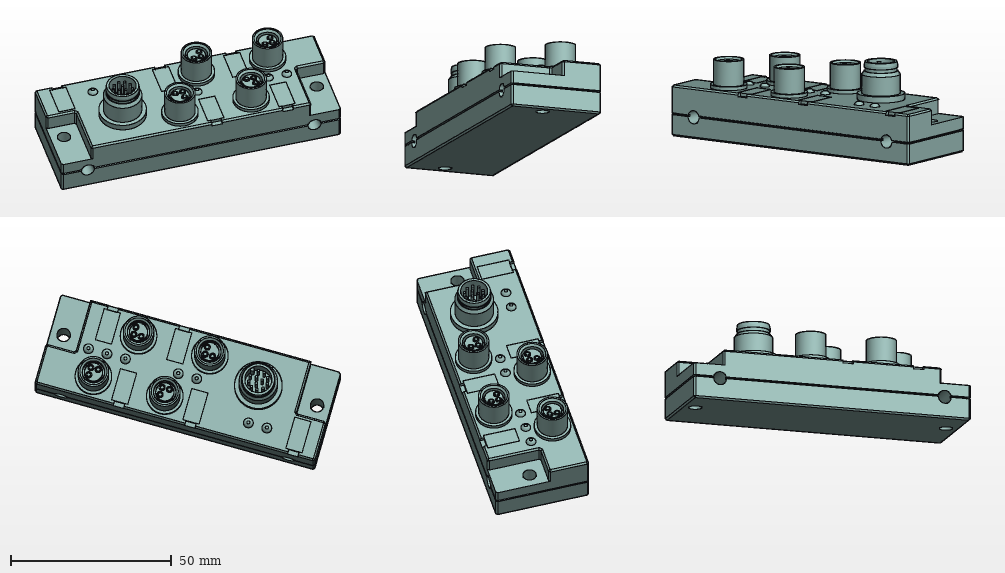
import cadquery as cq
import math

length = 90.4
width = 30.0
housing_height = 16.1
cover_height = 6.8
seam_gap = 0.5
seam_depth = 1.1
edge_chamfer = 0.5

recess_floor = 11.1
recess_wall_x = -2.1
recess_length = 9.6

hole_diameter = 4.2
vertical_hole_x = 3.0
vertical_hole_y = 40.95
side_hole_y = 36.7
side_hole_z = cover_height

port_x = 8.05
first_port_y = 28.2
port_pitch = 23.05
port_stagger = 10.0
ports_per_row = 2

socket_flange_diameter = 11.4
socket_flange_height = 1.1
socket_diameter = 9.5
socket_top = 25.0
socket_mouth_diameter = 8.4
socket_bore_diameter = 7.0
socket_mouth_depth = 0.6
socket_bore_depth = 2.7
insert_diameter = 5.7
insert_drop = 1.0
contact_offset = 1.2
contact_well_diameter = 1.9
contact_well_depth = 0.45
contact_diameter = 1.2
contact_rise = 0.3

plug_x = 3.0
plug_y = -22.0
plug_top = 28.0
plug_flange_diameter = 14.8
plug_flange_top = 18.0
plug_body_diameter = 12.0
plug_body_top = 24.0
plug_shoulder_top = socket_top
plug_ring_diameter = 10.5
plug_neck_diameter = 10.0
plug_ring_bottom = 26.1
plug_ring_top = 26.9
plug_bore_diameter = 8.4
plug_bore_depth = 7.2
pin_diameter = 0.8
pin_drop = 1.2
outer_pin_count = 9
outer_pin_radius = 3.0
outer_pin_step = 37.6
inner_pin_count = 3
inner_pin_radius = 1.2
key_angle = 45.0
key_diameter = 1.2
key_radius = 3.8
key_drop = 0.9

light_diameter = 3.1
light_height = 1.0
light_flat_diameter = 1.0
light_pitch = 6.0
port_light_x = 0.0
port_light_first_y = (32.1, 3.1)
port_light_count = (3, 2)
plug_light_x = -9.0
plug_light_first_y = -22.15
plug_light_count = 2

label_length = 10.2
label_width = 5.2
label_end_x = 13.6
label_depth = 0.1
notch_width = 3.3
notch_depth = 1.1
end_label_y = -38.15


def block(size_x, size_y, bottom, top, x=0.0, y=0.0):
    """Upright box centred on (x, y), between two heights."""
    return (
        cq.Workplane("XY", origin=(x, y, bottom))
        .rect(size_x, size_y)
        .extrude(top - bottom)
    )


def disc(diameter, bottom, top, x=0.0, y=0.0):
    """Upright cylinder centred on (x, y), between two heights."""
    return cq.Workplane("XY", origin=(x, y, bottom)).circle(diameter / 2).extrude(top - bottom)


def cone(bottom_diameter, top_diameter, bottom, top):
    """Upright truncated cone on the Z axis."""
    return (
        cq.Workplane("XY", origin=(0, 0, bottom))
        .circle(bottom_diameter / 2)
        .workplane(offset=top - bottom)
        .circle(top_diameter / 2)
        .loft()
    )


def polar(radius, angle):
    """Point at a radius and an angle in degrees."""
    return (radius * math.cos(math.radians(angle)), radius * math.sin(math.radians(angle)))


def make_housing():
    """Cover, core and recessed upper body with all through holes."""
    cover = block(width, length, 0, cover_height).edges("|Z or <Z").chamfer(edge_chamfer)
    core = block(
        width - 2 * seam_depth, length - 2 * seam_depth, cover_height, cover_height + seam_gap
    )

    body = block(width, length, cover_height + seam_gap, housing_height)
    body = body.edges("|Z").chamfer(edge_chamfer)
    recess_width = width / 2 - recess_wall_x
    for side in (-1, 1):
        recess = block(
            recess_width, recess_length, recess_floor, housing_height,
            recess_wall_x + recess_width / 2, side * (length - recess_length) / 2,
        )
        inner_corner = "<X and " + ("<Y" if side > 0 else ">Y")
        recess = recess.edges("|Z").edges(inner_corner).chamfer(edge_chamfer)
        body = body.cut(recess)
    recess_mouth = cq.selectors.BoxSelector(
        (recess_wall_x - edge_chamfer / 2, -length, recess_floor),
        (recess_wall_x + edge_chamfer / 2, length, housing_height),
    )
    body = body.edges("|Z").edges(recess_mouth).edges("<Y or >Y").chamfer(edge_chamfer)
    body = body.faces(">Z").edges().chamfer(edge_chamfer)

    for side in (-1, 1):
        wall_y = side * (length / 2 - recess_length)
        bevel = (
            cq.Workplane("XY", origin=(width / 2, wall_y, recess_floor))
            .lineTo(-edge_chamfer, 0)
            .lineTo(0, -side * edge_chamfer)
            .close()
            .extrude(housing_height - edge_chamfer - recess_floor)
        )
        body = body.cut(bevel)

    housing = cover.union(core).union(body)
    for side in (-1, 1):
        housing = housing.cut(
            disc(hole_diameter, 0, housing_height, vertical_hole_x, side * vertical_hole_y)
        )
        side_hole = (
            cq.Workplane("YZ", origin=(-width / 2, side * side_hole_y, side_hole_z))
            .circle(hole_diameter / 2)
            .extrude(width)
        )
        housing = housing.cut(side_hole)
    return housing


def cut_label(housing, side, y):
    """Sink a shallow label field and notch the housing edge beside it."""
    center_x = side * (label_end_x - label_length / 2)
    field = block(
        label_length, label_width, housing_height - label_depth, housing_height, center_x, y
    )
    notch_length = width / 2 - label_end_x
    notch = block(
        notch_length, notch_width, housing_height - notch_depth, housing_height,
        side * (label_end_x + notch_length / 2), y,
    )
    return housing.cut(field).cut(notch)


def make_socket(missing_side):
    """Three-contact socket on the Z axis; no contact at -Y on the missing X side."""
    flange_top = housing_height + socket_flange_height
    insert_top = socket_top - insert_drop
    bore_floor = socket_top - socket_bore_depth

    socket = disc(socket_flange_diameter, housing_height, flange_top)
    socket = socket.union(disc(socket_diameter, flange_top, socket_top))
    socket = socket.cut(disc(socket_bore_diameter, bore_floor, socket_top))
    socket = socket.cut(
        cone(socket_bore_diameter, socket_mouth_diameter, socket_top - socket_mouth_depth, socket_top)
    )
    socket = socket.union(disc(insert_diameter, bore_floor, insert_top))

    for side_x, side_y in ((-1, 1), (1, 1), (-missing_side, -1)):
        spot = (side_x * contact_offset, side_y * contact_offset)
        well_floor = insert_top - contact_well_depth
        socket = socket.cut(disc(contact_well_diameter, well_floor, insert_top, *spot))
        socket = socket.union(disc(contact_diameter, well_floor, insert_top + contact_rise, *spot))
    return socket


def make_plug():
    """Twelve-pin male plug on the Z axis."""
    plug = disc(plug_flange_diameter, housing_height, plug_flange_top)
    plug = plug.union(disc(plug_body_diameter, plug_flange_top, plug_body_top))
    plug = plug.union(
        cone(plug_body_diameter, plug_ring_diameter, plug_body_top, plug_shoulder_top)
    )
    plug = plug.union(disc(plug_neck_diameter, plug_shoulder_top, plug_ring_bottom))
    plug = plug.union(disc(plug_ring_diameter, plug_ring_bottom, plug_ring_top))
    plug = plug.union(cone(plug_ring_diameter, plug_neck_diameter, plug_ring_top, plug_top))

    bore_floor = plug_top - plug_bore_depth
    plug = plug.cut(disc(plug_bore_diameter, bore_floor, plug_top))

    first_angle = key_angle + 180 - outer_pin_step * (outer_pin_count - 1) / 2
    pins = [
        polar(outer_pin_radius, first_angle + i * outer_pin_step)
        for i in range(outer_pin_count)
    ]
    pins += [
        polar(inner_pin_radius, key_angle + i * 360 / inner_pin_count)
        for i in range(inner_pin_count)
    ]
    for spot in pins:
        plug = plug.union(disc(pin_diameter, bore_floor, plug_top - pin_drop, *spot))

    key = disc(key_diameter, bore_floor, plug_top - key_drop, *polar(key_radius, key_angle))
    return plug.union(key)


def make_light():
    """Flat-topped round dome on the Z axis."""
    base_radius = light_diameter / 2
    flat_radius = light_flat_diameter / 2
    center_z = (light_height**2 + flat_radius**2 - base_radius**2) / (2 * light_height)
    sphere_radius = math.hypot(base_radius, center_z)
    middle_z = light_height / 2
    middle_radius = math.sqrt(sphere_radius**2 - (middle_z - center_z) ** 2)
    return (
        cq.Workplane("XZ", origin=(0, 0, housing_height))
        .lineTo(base_radius, 0)
        .threePointArc((middle_radius, middle_z), (flat_radius, light_height))
        .lineTo(0, light_height)
        .close()
        .revolve(360, (0, 0, 0), (0, 1, 0))
    )


left_port_y = [first_port_y - i * port_pitch for i in range(ports_per_row)]
right_port_y = [y - port_stagger for y in left_port_y]

result = make_housing()
for label_y in right_port_y + [end_label_y]:
    result = cut_label(result, -1, label_y)
for label_y in left_port_y:
    result = cut_label(result, 1, label_y)

for left_y, right_y in zip(left_port_y, right_port_y):
    result = result.union(make_socket(-1).translate((-port_x, left_y, 0)))
    result = result.union(make_socket(1).translate((port_x, right_y, 0)))

result = result.union(make_plug().translate((plug_x, plug_y, 0)))

light_rows = [(port_light_x, y, n) for y, n in zip(port_light_first_y, port_light_count)]
light_rows.append((plug_light_x, plug_light_first_y, plug_light_count))
for row_x, row_y, count in light_rows:
    for i in range(count):
        result = result.union(make_light().translate((row_x, row_y - i * light_pitch, 0)))